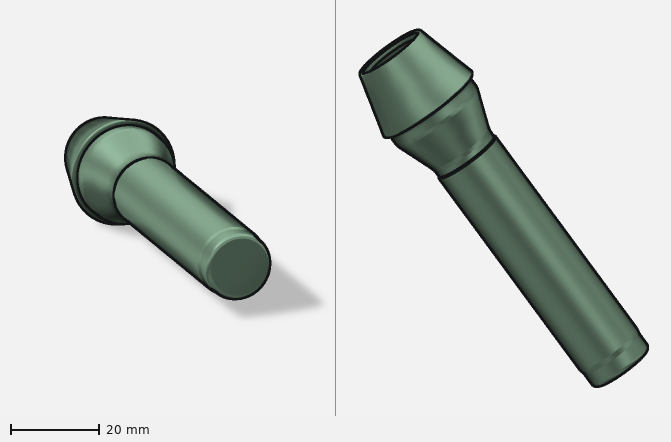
import cadquery as cq
import math

LENGTH = 90.0

CAP_DIAMETER = 24.8
CAP_LENGTH = 15.2
EDGE_RADIUS = 0.45
MOUTH_DIAMETER = 15.5

SPIGOT_DIAMETER = 12.8
SPIGOT_START = 1.35
COLLAR_DIAMETER = 22.5
COLLAR_END = 18.4
NECK_START = 27.9
SHAFT_START = 29.7
SHAFT_DIAMETER = 16.0
RELIEF_DIAMETER = 15.5
SHAFT_END = 84.7
TAIL_START = 85.95
BLEND_RADIUS = 2.5
NECK_BLEND_RADIUS = 2.9
STEP_CHAMFER = (SHAFT_DIAMETER - RELIEF_DIAMETER) / 2
END_ROUND = 1.1


def make_cap():
    """Conical ring with a rounded lip, a full-round rim and a bore that funnels down to the spigot."""
    rim_center_radius = MOUTH_DIAMETER / 2 + EDGE_RADIUS
    lip_center_x = CAP_LENGTH - EDGE_RADIUS
    lip_center_radius = CAP_DIAMETER / 2 - EDGE_RADIUS
    spigot_radius = SPIGOT_DIAMETER / 2

    slope = math.atan2(lip_center_radius - rim_center_radius, lip_center_x - EDGE_RADIUS)
    sine = math.sin(slope)
    cosine = math.cos(slope)

    rim_tangent = (EDGE_RADIUS * (1 - sine), rim_center_radius + EDGE_RADIUS * cosine)
    lip_tangent = (lip_center_x - EDGE_RADIUS * sine, lip_center_radius + EDGE_RADIUS * cosine)
    lip_middle = (
        lip_center_x + EDGE_RADIUS * math.cos(math.pi / 4),
        lip_center_radius + EDGE_RADIUS * math.sin(math.pi / 4),
    )
    return (
        cq.Workplane("XY")
        .moveTo(SPIGOT_START, spigot_radius)
        .lineTo(EDGE_RADIUS, MOUTH_DIAMETER / 2)
        .threePointArc((0, rim_center_radius), rim_tangent)
        .lineTo(*lip_tangent)
        .threePointArc(lip_middle, (CAP_LENGTH, lip_center_radius))
        .lineTo(CAP_LENGTH, spigot_radius)
        .close()
        .revolve(360, (0, 0), (1, 0))
    )


def make_stem():
    """Spigot through the cap, collar tapering to a relieved neck, and a shaft with a reduced tail."""
    collar_radius = COLLAR_DIAMETER / 2
    relief_radius = RELIEF_DIAMETER / 2
    shaft_radius = SHAFT_DIAMETER / 2
    stem = (
        cq.Workplane("XY")
        .polyline([
            (SPIGOT_START, 0),
            (SPIGOT_START, SPIGOT_DIAMETER / 2),
            (CAP_LENGTH, SPIGOT_DIAMETER / 2),
            (CAP_LENGTH, collar_radius),
            (COLLAR_END, collar_radius),
            (NECK_START, relief_radius),
            (SHAFT_START, relief_radius),
            (SHAFT_START + STEP_CHAMFER, shaft_radius),
            (SHAFT_END, shaft_radius),
            (TAIL_START, relief_radius),
            (LENGTH, relief_radius),
            (LENGTH, 0),
        ])
        .close()
        .revolve(360, (0, 0), (1, 0))
    )
    stem = stem.edges(circle_at(COLLAR_END)).fillet(BLEND_RADIUS)
    stem = stem.edges(circle_at(NECK_START)).fillet(NECK_BLEND_RADIUS)
    return stem.faces(">X").edges().fillet(END_ROUND)


def circle_at(station):
    """Selector for the circular edge lying at one station along X."""
    reach = CAP_DIAMETER
    margin = 0.1
    return cq.selectors.BoxSelector(
        (station - margin, -reach, -reach),
        (station + margin, reach, reach),
        boundingbox=True,
    )


cap = make_cap()
stem = make_stem()
result = cq.Compound.makeCompound([cap.val(), stem.val()])